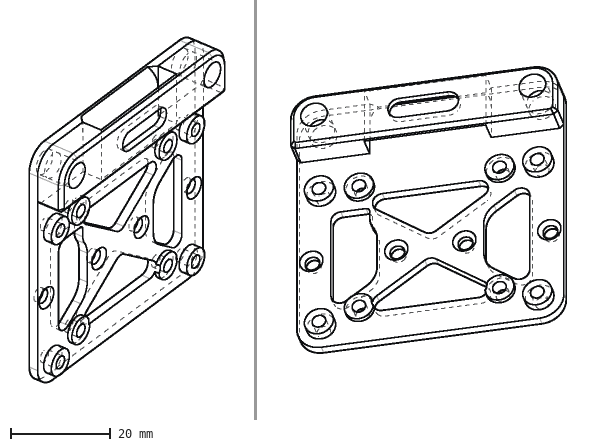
import cadquery as cq
import math


width = 55.0
height = 57.0
total_depth = 8.2
plate_thickness = 2.1
corner_radius = 5.0

corner_hole_y = width / 2 - corner_radius
bottom_z = -21.0
top_z = bottom_z + height
corner_hole_z = bottom_z + corner_radius
screw_diameter = 2.8
inner_hole_y = 14.5
inner_hole_low_z = -13.0
boss_diameter = 6.0
tall_boss_height = 1.95
short_boss_height = 1.0
tall_boss_points = [(sy * corner_hole_y, sz * corner_hole_z) for sy in (-1, 1) for sz in (-1, 1)]
short_boss_points = [(sy * inner_hole_y, z) for sy in (-1, 1) for z in (inner_hole_low_z, -corner_hole_z)]

middle_diameter = 3.0
countersink_diameter = 4.8
middle_outer_y = 24.5
middle_inner_y = 7.0
middle_points = [(y, 0) for y in (-middle_outer_y, -middle_inner_y, middle_inner_y, middle_outer_y)]

mount_diameter = 5.5
mount_z = top_z - corner_radius
mount_points = [(-corner_hole_y, mount_z), (corner_hole_y, mount_z)]

strut_slope = math.tan(math.radians(35.3))
window_radius = 2.0
triangle_base_z = 14.0
triangle_apex_z = 2.55
side_outer_y = 20.45
side_inner_y = 11.0
side_top_z = 10.95
side_waist_radius = 5.0
notch_inner_y = 12.5
notch_corner_radius = 0.8
notch_blend_radius = 3.5

housing_height = 11.95
housing_chamfer = 0.85
passage_width = 25.0
passage_front_x = 6.7
slot_length = 14.55
slot_height = 4.55
slot_z = 29.9

ramp_depth = 1.5
ramp_radius = 9.1


def prism(outline, x_start, x_end):
    """Closed (Y, Z) polygon extruded along X."""
    return cq.Workplane("YZ", origin=(x_start, 0, 0)).polyline(outline).close().extrude(x_end - x_start)


def cylinders(points, diameter, x_start, x_end):
    """Equal cylinders along X centred on (Y, Z) points."""
    return (
        cq.Workplane("YZ", origin=(x_start, 0, 0))
        .pushPoints(points)
        .circle(diameter / 2)
        .extrude(x_end - x_start)
    )


def box(x_range, y_range, z_range):
    """Box between the given limits on each axis."""
    size = [high - low for low, high in (x_range, y_range, z_range)]
    corner = (x_range[0], y_range[0], z_range[0])
    return cq.Workplane("XY").box(*size, centered=False).translate(corner)


def edge_at(y, z, z_reach=0.05):
    """Selector for the edges along X centred within a small reach of (y, z)."""
    y_reach = 0.05
    return cq.selectors.BoxSelector(
        (0, y - y_reach, z - z_reach),
        (total_depth, y + y_reach, z + z_reach),
    )


def triangle_window(side):
    """Rounded triangle above (side = 1) or below (side = -1) the crossing of the struts."""
    base_y = (triangle_base_z - triangle_apex_z) / strut_slope
    points = [
        (0, side * triangle_apex_z),
        (base_y, side * triangle_base_z),
        (-base_y, side * triangle_base_z),
    ]
    return prism(points, 0, total_depth).edges("|X").fillet(window_radius)


def side_window(side):
    """Window beside the struts: straight outer edge, sloped ends and a rounded waist."""
    tip_drop = window_radius * (math.hypot(1, strut_slope) - 1 + strut_slope)
    outer_z = side_top_z + tip_drop
    inner_z = outer_z - strut_slope * (side_outer_y - side_inner_y)
    points = [
        (side * side_outer_y, outer_z),
        (side * side_inner_y, inner_z),
        (side * side_inner_y, -inner_z),
        (side * side_outer_y, -outer_z),
    ]
    window = prism(points, 0, total_depth)
    for z in (inner_z, -inner_z):
        window = window.edges(edge_at(side * side_inner_y, z)).fillet(side_waist_radius)
    for z in (outer_z, -outer_z):
        window = window.edges(edge_at(side * side_outer_y, z)).fillet(window_radius)
    return window


def notched_side_window():
    """The -Y side window, with its upper end squared off towards the struts."""
    notch = box((0, total_depth), (-side_outer_y, -notch_inner_y), (0, side_top_z))
    notch = notch.edges(edge_at(-notch_inner_y, side_top_z)).fillet(notch_corner_radius)
    notch = notch.edges(edge_at(-side_outer_y, side_top_z)).fillet(window_radius)
    window = side_window(-1).union(notch)
    meeting_z = side_top_z * 2 / 3
    meeting_edge = edge_at(-notch_inner_y, meeting_z, z_reach=1.15)
    return window.edges("|X").edges(meeting_edge).fillet(notch_blend_radius)


def cable_ramp():
    """Recess whose floor curves from the inner face to full depth at the top edge of the plate."""
    half = passage_width / 2
    floor_x = plate_thickness - ramp_depth
    trench = (
        cq.Workplane("XY", origin=(0, 0, top_z - housing_height))
        .polyline([
            (plate_thickness, -half),
            (plate_thickness, half),
            (floor_x, half - ramp_depth),
            (floor_x, ramp_depth - half),
        ])
        .close()
        .extrude(housing_height)
    )
    run = math.sqrt(ramp_radius ** 2 - (ramp_radius - ramp_depth) ** 2)
    crown = (
        cq.Workplane("XZ", origin=(plate_thickness - ramp_radius, half, top_z - run))
        .circle(ramp_radius)
        .extrude(passage_width)
    )
    below = box((0, plate_thickness), (-half, half), (bottom_z, top_z - run))
    return trench.cut(crown).cut(below)


def countersunk_holes():
    """Screw holes of the middle row, each opening into a cone on the inner face of the plate."""
    cone_depth = (countersink_diameter - middle_diameter) / 2
    bores = cylinders(middle_points, middle_diameter, 0, plate_thickness)
    cone = cq.Solid.makeCone(
        middle_diameter / 2,
        countersink_diameter / 2,
        cone_depth,
        pnt=cq.Vector(plate_thickness - cone_depth, 0, 0),
        dir=cq.Vector(1, 0, 0),
    )
    for y, z in middle_points:
        bores = bores.union(cq.Workplane(cone.translate(cq.Vector(0, y, z))))
    return bores


def make_plate():
    plate = (
        cq.Workplane("YZ", origin=(0, 0, (bottom_z + top_z) / 2))
        .rect(width, height)
        .extrude(plate_thickness)
        .edges("|X")
        .fillet(corner_radius)
    )
    tall_end = plate_thickness + tall_boss_height
    plate = plate.union(cylinders(tall_boss_points, boss_diameter, 0, tall_end))
    plate = plate.union(cylinders(short_boss_points, boss_diameter, 0, plate_thickness + short_boss_height))
    plate = plate.cut(cylinders(tall_boss_points + short_boss_points, screw_diameter, 0, tall_end))
    plate = plate.cut(countersunk_holes())
    plate = plate.cut(cylinders(mount_points, mount_diameter, 0, plate_thickness))
    for window in (triangle_window(1), triangle_window(-1), side_window(1), notched_side_window()):
        plate = plate.cut(window)
    return plate.cut(cable_ramp())


def make_housing():
    low_z = top_z - housing_height
    housing = box((plate_thickness, total_depth), (-width / 2, width / 2), (low_z, top_z))
    housing = housing.edges("|X and >Z").fillet(corner_radius)
    housing = housing.edges("|X and <Z").chamfer(housing_chamfer)
    housing = housing.faces(">X").edges().chamfer(housing_chamfer)
    half = passage_width / 2
    housing = housing.cut(box((plate_thickness, passage_front_x), (-half, half), (low_z, top_z)))
    slot = (
        cq.Workplane("YZ", origin=(passage_front_x, 0, slot_z))
        .slot2D(slot_length, slot_height)
        .extrude(total_depth - passage_front_x)
    )
    housing = housing.cut(slot)
    return housing.cut(cylinders(mount_points, mount_diameter, plate_thickness, total_depth))


plate = make_plate()
housing = make_housing()

result = cq.Compound.makeCompound([plate.solids().val(), housing.solids().val()])